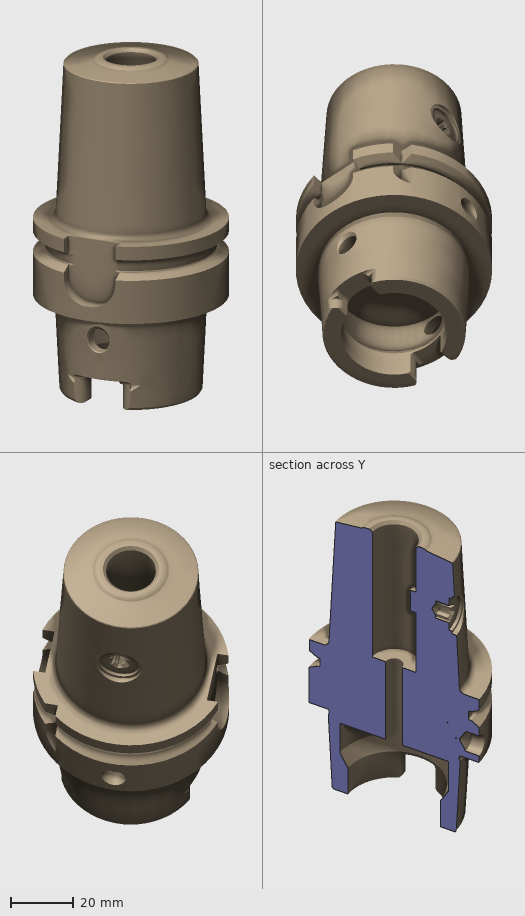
import cadquery as cq
import math


top_z = 80.0
shank_end_z = -31.9
flange_top_z = 26.0

neck_base_radius = 24.2
neck_fillet = 2.0
nose_radius = 21.7
nose_edge_z = 78.1
nose_bevel = 0.25
collar_base_radius = 12.1
collar_base_z = 79.3
collar_top_radius = 10.05

bore_radius = 8.0
bore_mouth_radius = 9.0
bore_mouth_depth = 1.0
bore_floor_z = 28.0
coolant_bore_radius = 3.05

flange_radius = 31.5
groove_mid_z = 18.0
groove_half_width = 3.45
groove_flank_radius = 28.5
groove_flank_angle = math.radians(60)
groove_flank_height = (flange_radius - groove_flank_radius) / math.tan(groove_flank_angle)
groove_neck_half_width = groove_half_width - groove_flank_height
groove_floor_radius = 27.5
groove_corner = 0.3

relief_radius = 24.15
relief_height = 1.6
relief_lead_radius = 24.3
relief_lead_height = 0.8
taper_start_z = -2.2
taper_start_radius = 24.45
taper_ratio = 0.05
shank_bevel_height = 0.8
shank_bevel_width = 0.5
hollow_mouth_radius = 17.0
hollow_radius = 20.0
clamp_cone_z = -16.0
clamp_cone_angle = math.radians(30)
clamp_cone_height = (hollow_radius - hollow_mouth_radius) / math.tan(clamp_cone_angle)
hollow_top_z = -4.0


def taper_radius(z):
    """Outside radius of the taper shank at height z."""
    return taper_start_radius - taper_ratio * (taper_start_z - z)


def turned_body():
    bevel_z = shank_end_z + shank_bevel_height
    fillet_slant = neck_fillet / math.sqrt(2)
    fillet_mid = (
        neck_base_radius + neck_fillet - fillet_slant,
        flange_top_z + neck_fillet - fillet_slant,
    )
    collar_width = collar_base_radius - collar_top_radius
    collar_height = top_z - collar_base_z
    collar_round = (collar_width**2 + collar_height**2) / (2 * collar_height)
    collar_half_angle = math.asin(collar_width / collar_round) / 2
    collar_mid = (
        collar_top_radius + collar_round * math.sin(collar_half_angle),
        top_z - collar_round * (1 - math.cos(collar_half_angle)),
    )
    groove_top = groove_mid_z + groove_half_width
    groove_bottom = groove_mid_z - groove_half_width
    inner_top = groove_mid_z + groove_neck_half_width
    inner_bottom = groove_mid_z - groove_neck_half_width
    return (
        cq.Workplane("XZ")
        .moveTo(hollow_mouth_radius, shank_end_z)
        .lineTo(taper_radius(bevel_z) - shank_bevel_width, shank_end_z)
        .lineTo(taper_radius(bevel_z), bevel_z)
        .lineTo(taper_start_radius, taper_start_z)
        .lineTo(relief_radius, -relief_height)
        .lineTo(relief_radius, -relief_lead_height)
        .lineTo(relief_lead_radius, 0)
        .lineTo(flange_radius, 0)
        .lineTo(flange_radius, groove_bottom)
        .lineTo(groove_flank_radius, inner_bottom)
        .lineTo(groove_floor_radius + groove_corner, inner_bottom)
        .lineTo(groove_floor_radius, inner_bottom + groove_corner)
        .lineTo(groove_floor_radius, inner_top - groove_corner)
        .lineTo(groove_floor_radius + groove_corner, inner_top)
        .lineTo(groove_flank_radius, inner_top)
        .lineTo(flange_radius, groove_top)
        .lineTo(flange_radius, flange_top_z)
        .lineTo(neck_base_radius + neck_fillet, flange_top_z)
        .threePointArc(fillet_mid, (neck_base_radius, flange_top_z + neck_fillet))
        .lineTo(nose_radius, nose_edge_z - nose_bevel)
        .lineTo(nose_radius - nose_bevel, nose_edge_z)
        .lineTo(collar_base_radius, collar_base_z)
        .threePointArc(collar_mid, (collar_top_radius, top_z))
        .lineTo(bore_mouth_radius, top_z)
        .lineTo(bore_radius, top_z - bore_mouth_depth)
        .lineTo(bore_radius, bore_floor_z)
        .lineTo(coolant_bore_radius, bore_floor_z)
        .lineTo(coolant_bore_radius, hollow_top_z)
        .lineTo(hollow_radius, hollow_top_z)
        .lineTo(hollow_radius, clamp_cone_z)
        .lineTo(hollow_mouth_radius, clamp_cone_z - clamp_cone_height)
        .close()
        .revolve(360, (0, 0, 0), (0, 1, 0))
    )


slot_floor = 26.5
front_slot_width = 18.4
front_slot_corner = 8.3
back_slot_width = 16.3
slot_end_z = 4.8
notch_floor_y = 20.2
notch_wall_x = -19.9
notch_end_radius = 7.5
notch_end_z = 5.4


def rim_block(width, end_z, floor, side):
    """Block reaching from the rim in to the slot floor; side is +1 for +Y and -1 for -Y."""
    height = flange_top_z - end_z
    depth = flange_radius - floor
    middle = (0, side * (floor + depth / 2), end_z + height / 2)
    return cq.Workplane("XY").box(width, depth, height).translate(middle)


def round_ended_slot(width, end_z, floor):
    """Slot on the +Y side whose lower end is a full half circle."""
    end_radius = width / 2
    centre_z = end_z + end_radius
    end = (
        cq.Workplane("XZ", origin=(0, flange_radius, centre_z))
        .circle(end_radius)
        .extrude(flange_radius - floor)
    )
    return rim_block(width, centre_z, floor, 1).union(end)


def rim_slots():
    front = rim_block(front_slot_width, slot_end_z, slot_floor, -1)
    front = front.edges("|Y and <Z").fillet(front_slot_corner)
    back = round_ended_slot(back_slot_width, slot_end_z, slot_floor)
    notch = round_ended_slot(2 * notch_end_radius, notch_end_z, notch_floor_y)
    notch = notch.translate((notch_wall_x - notch_end_radius, 0, 0))
    return front.union(back).union(notch)


rim_hole_z = 6.9
rim_hole_radius = 4.0
rim_hole_depth = 5.0
drill_half_angle = math.radians(59)


def rim_hole():
    floor_x = -(flange_radius - rim_hole_depth)
    tip_x = floor_x + rim_hole_radius / math.tan(drill_half_angle)
    return (
        cq.Workplane("XY")
        .moveTo(-flange_radius, 0)
        .lineTo(-flange_radius, rim_hole_radius)
        .lineTo(floor_x, rim_hole_radius)
        .lineTo(tip_x, 0)
        .close()
        .revolve(360, (0, 0, 0), (1, 0, 0))
        .translate((0, 0, rim_hole_z))
    )


access_hole_z = -8.9
access_hole_radius = 3.75
access_hole_tilt = 2.5
access_bevel = 0.7
access_overrun = 2.0


def access_hole():
    """Hole through the -Y wall, dropping toward the tool axis."""
    wall_radius = taper_radius(access_hole_z)
    start = wall_radius + access_overrun
    inner_end = hollow_radius - access_overrun
    mouth_radius = access_hole_radius + access_bevel
    hole = (
        cq.Workplane("XY")
        .moveTo(0, -start)
        .lineTo(mouth_radius + access_overrun, -start)
        .lineTo(access_hole_radius, -(wall_radius - access_bevel))
        .lineTo(access_hole_radius, -inner_end)
        .lineTo(0, -inner_end)
        .close()
        .revolve(360, (0, 0, 0), (0, 1, 0))
        .translate((0, 0, access_hole_z))
    )
    pivot = (0, -wall_radius, access_hole_z)
    return hole.rotate(pivot, (1, -wall_radius, access_hole_z), -access_hole_tilt)


keyway_width = 12.6
keyway_shoulder = 3.0
keyway_fillet = 1.3
keyway_mouth_bevel = 0.7
flat_y = 20.9
front_keyway_z = -22.1
back_keyway_z = -26.0
undercut_start_x = 9.9
undercut_y = 19.5
undercut_top_z = -23.4
undercut_bottom_z = -25.3
keyway_reach = taper_start_radius


def keyway_slot(roof_z):
    """Straight slot through the -Y wall, flared at the mouth and rounded under its roof."""
    half = keyway_width / 2
    mouth_half = half + keyway_mouth_bevel
    return (
        cq.Workplane("XZ")
        .moveTo(-mouth_half, shank_end_z)
        .lineTo(-half, shank_end_z + keyway_mouth_bevel)
        .lineTo(-half, roof_z)
        .lineTo(half, roof_z)
        .lineTo(half, shank_end_z + keyway_mouth_bevel)
        .lineTo(mouth_half, shank_end_z)
        .close()
        .extrude(keyway_reach)
        .edges("|Y and >Z")
        .fillet(keyway_fillet)
    )


def keyway_shoulders(roof_z):
    """Material removed to round the slot sides out onto the flat."""
    half = keyway_width / 2
    outer = half + keyway_shoulder
    inner_y = flat_y - keyway_shoulder
    slant = keyway_shoulder / math.sqrt(2)
    return (
        cq.Workplane("XY", origin=(0, 0, shank_end_z))
        .moveTo(-half, -inner_y)
        .lineTo(half, -inner_y)
        .threePointArc((outer - slant, -(inner_y + slant)), (outer, -flat_y))
        .lineTo(-outer, -flat_y)
        .threePointArc((slant - outer, -(inner_y + slant)), (-half, -inner_y))
        .close()
        .extrude(roof_z - shank_end_z)
    )


def keyway_flat(roof_z):
    """Flat milled across the wall, with a fillet where it runs into its roof."""
    fillet_slant = keyway_fillet * (1 - 1 / math.sqrt(2))
    fillet_mid = (-flat_y - fillet_slant, roof_z - fillet_slant)
    return (
        cq.Workplane("YZ")
        .moveTo(-keyway_reach, shank_end_z)
        .lineTo(-flat_y, shank_end_z)
        .lineTo(-flat_y, roof_z - keyway_fillet)
        .threePointArc(fillet_mid, (-flat_y - keyway_fillet, roof_z))
        .lineTo(-keyway_reach, roof_z)
        .close()
        .extrude(keyway_reach, both=True)
    )


def keyway(roof_z):
    """Complete keyway on the -Y side."""
    shoulders = keyway_shoulders(roof_z - keyway_fillet)
    return keyway_slot(roof_z).union(shoulders).union(keyway_flat(roof_z))


def flat_undercuts():
    """Wedge nicks at both outer ends of the front flat."""
    nick = (
        cq.Workplane("YZ", origin=(undercut_start_x, 0, 0))
        .moveTo(-keyway_reach, undercut_bottom_z)
        .lineTo(-flat_y, undercut_bottom_z)
        .lineTo(-undercut_y, undercut_top_z)
        .lineTo(-keyway_reach, undercut_top_z)
        .close()
        .extrude(keyway_reach - undercut_start_x)
    )
    return nick.union(nick.mirror("YZ"))


def keyways():
    front = keyway(front_keyway_z).union(flat_undercuts())
    back = keyway(back_keyway_z).rotate((0, 0, 0), (0, 0, 1), 180)
    return front.union(back)


screw_z = 56.6
spotface_radius = 7.55
spotface_x = -21.4
screw_radius = 6.5
screw_face_x = -20.4
screw_tip_radius = 4.35
screw_tip_x = -6.0
socket_radius = 3.45
socket_core_radius = 2.4
socket_lobe_width = 1.3
socket_lobes = 6
socket_depth = 5.0
socket_bevel_depth = 0.9


def x_cylinder(radius, start_x, end_x):
    """Cylinder along X on the screw axis."""
    return (
        cq.Workplane("YZ", origin=(start_x, 0, screw_z))
        .circle(radius)
        .extrude(end_x - start_x)
    )


def screw_recess():
    outside_x = -neck_base_radius
    spotface = x_cylinder(spotface_radius, outside_x, spotface_x)
    head_recess = x_cylinder(screw_radius, outside_x, screw_face_x)
    return spotface.union(head_recess).union(drive_socket())


def drive_socket():
    """Six-lobed socket with a bevelled mouth and a drilled bottom."""
    floor_x = screw_face_x + socket_depth
    tip_x = floor_x + socket_core_radius / math.tan(drill_half_angle)
    socket = (
        cq.Workplane("XY")
        .moveTo(screw_face_x, 0)
        .lineTo(screw_face_x, socket_radius)
        .lineTo(screw_face_x + socket_bevel_depth, socket_core_radius)
        .lineTo(floor_x, socket_core_radius)
        .lineTo(tip_x, 0)
        .close()
        .revolve(360, (0, 0, 0), (1, 0, 0))
        .translate((0, 0, screw_z))
    )
    for index in range(socket_lobes // 2):
        lobe_pair = (
            cq.Workplane("YZ", origin=(screw_face_x, 0, screw_z))
            .transformed(rotate=(0, 0, index * 360 / socket_lobes))
            .rect(socket_lobe_width, 2 * socket_radius)
            .extrude(socket_depth)
        )
        socket = socket.union(lobe_pair)
    return socket


def screw_tip():
    root_x = -(bore_radius + bore_mouth_depth)
    return x_cylinder(screw_tip_radius, root_x, screw_tip_x)


result = (
    turned_body()
    .cut(rim_slots())
    .cut(rim_hole())
    .cut(access_hole())
    .cut(access_hole().mirror("XZ"))
    .cut(keyways())
    .cut(screw_recess())
    .union(screw_tip())
)